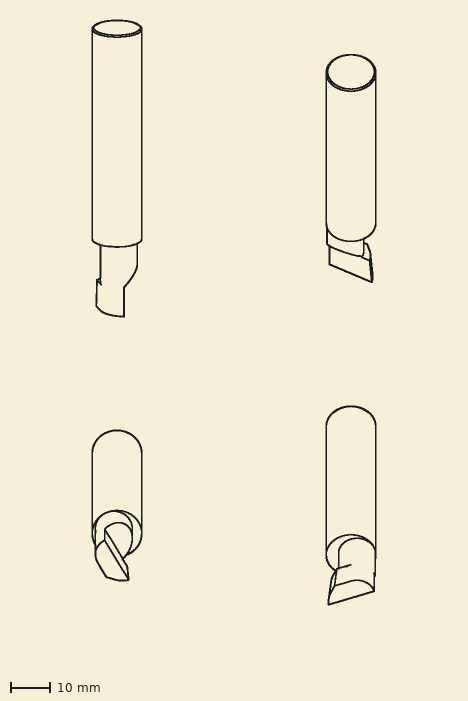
import cadquery as cq
import math

LENGTH = 76.2
SHANK_RADIUS = 6.36
SHANK_CHAMFER = 0.4
NECK_RADIUS = 4.7
NECK_TOP = 19.1
NECK_X = SHANK_RADIUS - NECK_RADIUS

HEAD_TOP = 7.85
HEAD_LEAN = 5.0
TIP_X = -6.1
FLANK_BULGE_X = 0.7
FLANK_BULGE_Y = -1.8
FLANK_END_X = 1.9
FLANK_END_Y = -3.35
HEEL_X = 3.24

FLAT_END = 8.15
END_RELIEF_X = 1.0
END_RELIEF_Y = 6.0
MARGIN = 7.6


def make_shank():
    shank = cq.Workplane("XY").workplane(offset=NECK_TOP).circle(SHANK_RADIUS).extrude(LENGTH - NECK_TOP)
    return shank.faces(">Z").chamfer(SHANK_CHAMFER)


def make_neck():
    return cq.Workplane("XY").center(NECK_X, 0).circle(NECK_RADIUS).extrude(NECK_TOP)


def head_section(height):
    """Closed head outline at one height, shifted by the lean."""
    edge_x = TIP_X + height * math.tan(math.radians(HEAD_LEAN))
    section = (
        cq.Workplane("XY", origin=(0, 0, height))
        .moveTo(edge_x, 0)
        .threePointArc(
            (edge_x + FLANK_BULGE_X, FLANK_BULGE_Y),
            (edge_x + FLANK_END_X, FLANK_END_Y),
        )
        .lineTo(edge_x + HEEL_X, -NECK_RADIUS)
        .lineTo(NECK_X, -NECK_RADIUS)
        .lineTo(NECK_X, 0)
        .close()
    )
    return section.val()


def make_head():
    return cq.Workplane(cq.Solid.makeLoft([head_section(0), head_section(HEAD_TOP)], True))


def make_flat_cut():
    """Removes the +Y half of the neck, running out at 45 degrees."""
    reach = NECK_RADIUS + MARGIN
    return (
        cq.Workplane("YZ")
        .polyline([(0, -MARGIN), (reach, -MARGIN), (reach, FLAT_END + reach), (0, FLAT_END)])
        .close()
        .extrude(SHANK_RADIUS + MARGIN, both=True)
    )


def make_end_cut():
    """Removes everything below the relieved end face through the cutting tip."""
    normal = (-math.tan(math.radians(END_RELIEF_X)), math.tan(math.radians(END_RELIEF_Y)), 1)
    end_plane = cq.Plane(origin=(TIP_X, 0, 0), normal=normal)
    return cq.Workplane(end_plane).rect(LENGTH, LENGTH).extrude(-MARGIN)


neck = make_neck().cut(make_flat_cut())
result = make_shank().union(neck).union(make_head()).cut(make_end_cut())